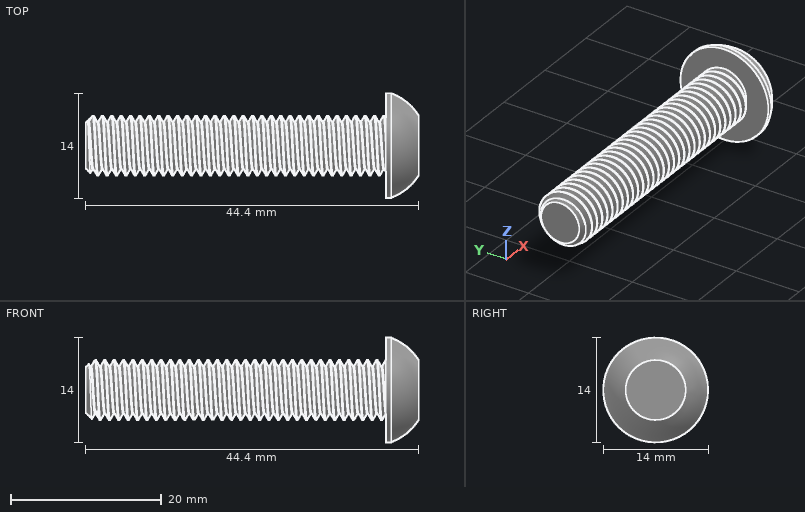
import cadquery as cq
import math


shank_length = 40.0
major_diameter = 8.0
pitch = 1.25
thread_angle = 60.0
tip_diameter = 6.05
shank_inside_head = 3.0

head_diameter = 14.0
head_height = 4.4
head_flat_diameter = 8.0
head_rim_height = 0.7

major_radius = major_diameter / 2
flank_slope = math.tan(math.radians(thread_angle / 2))
flat_width = pitch / 8
thread_depth = (pitch - 2 * flat_width) / (2 * flank_slope)
root_radius = major_radius - thread_depth
groove_start = 0.3 * pitch
groove_runout = pitch
cutter_overlap = 0.1


def make_shank():
    """Plain cylinder with a 45-degree chamfer at the tip, running on into the head."""
    chamfer_size = major_radius - tip_diameter / 2
    return (
        cq.Workplane("YZ", origin=(-shank_length, 0, 0))
        .circle(major_radius)
        .extrude(shank_length + shank_inside_head)
        .faces("<X")
        .chamfer(chamfer_size)
    )


def make_groove():
    """Right-handed helical groove that starts on the +Y side and ends inside the head."""
    start_x = groove_start - shank_length
    groove_length = shank_length - groove_start + groove_runout
    outer_radius = major_radius + cutter_overlap
    root_half_width = flat_width / 2
    outer_half_width = root_half_width + (outer_radius - root_radius) * flank_slope

    helix = cq.Wire.makeHelix(pitch, groove_length, root_radius)
    groove = (
        cq.Workplane("XZ")
        .moveTo(root_radius, -root_half_width)
        .lineTo(outer_radius, -outer_half_width)
        .lineTo(outer_radius, outer_half_width)
        .lineTo(root_radius, root_half_width)
        .close()
        .sweep(cq.Workplane(helix), isFrenet=True)
    )
    third_of_turn = 360 / 3
    return groove.rotate((0, 0, 0), (1, 1, 1), third_of_turn).translate((start_x, 0, 0))


def make_head():
    """Low domed head: a short cylindrical rim, a spherical dome and a flat top, revolved about X."""
    rim_radius = head_diameter / 2
    flat_radius = head_flat_diameter / 2
    dome_centre_x = (head_height**2 + flat_radius**2 - head_rim_height**2 - rim_radius**2) / (
        2 * (head_height - head_rim_height)
    )
    dome_radius = math.hypot(head_height - dome_centre_x, flat_radius)
    middle_x = (head_rim_height + head_height) / 2
    middle_radius = math.sqrt(dome_radius**2 - (middle_x - dome_centre_x) ** 2)
    return (
        cq.Workplane("XY")
        .lineTo(0, rim_radius)
        .lineTo(head_rim_height, rim_radius)
        .threePointArc((middle_x, middle_radius), (head_height, flat_radius))
        .lineTo(head_height, 0)
        .close()
        .revolve(360, (0, 0), (1, 0))
    )


result = make_shank().cut(make_groove()).union(make_head())